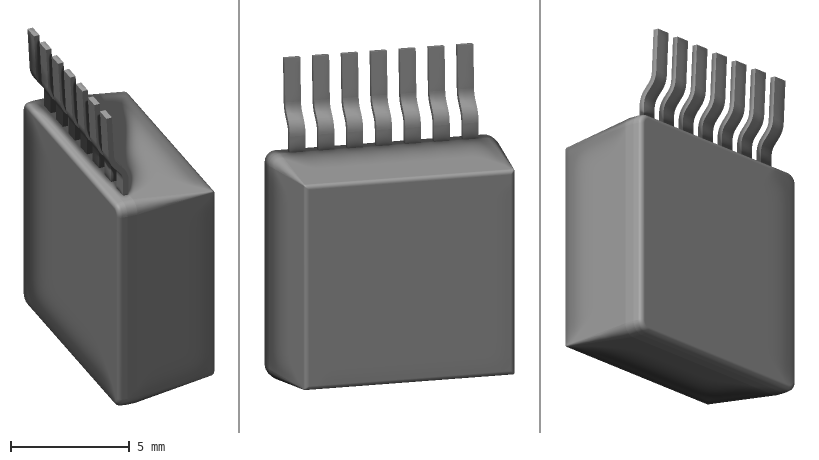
import cadquery as cq
import math

PACKAGE_WIDTH = 10.16
PACKAGE_HEIGHT = 9.85
PACKAGE_DEPTH = 4.67
CORNER_RADIUS = 0.5
BAND_FRONT = 0.41
BAND_BACK = 0.87
DRAFT_ANGLE = 7
FRONT_FILLET = 0.2
BACK_FILLET = 0.19

PAD_WIDTH = 5.33
PAD_EAR_SPAN = 6.42
PAD_HEIGHT = 8.52
PAD_EAR_HEIGHT = 0.59
PAD_BOTTOM = 1.02
PAD_THICKNESS = BAND_FRONT

LEAD_COUNT = 7
LEAD_ROW_SPAN = 7.61
LEAD_PITCH = LEAD_ROW_SPAN / (LEAD_COUNT - 1)
LEAD_WIDTH = 0.69
LEAD_THICKNESS = 0.25
LEAD_TOP = 13.77
LEAD_BEND_START = 0.7
LEAD_BEND_RADIUS = 0.69
LEAD_BEND_ANGLE = 43
LEAD_SLOPE_LENGTH = 0.35
LEAD_TIP_ANGLE = 3


def rounded_section(y, depth, taper):
    """Package section at the given Y, extruded along +Y (or -Y if depth is negative)."""
    section = cq.Workplane("XZ", origin=(0, y, PACKAGE_HEIGHT / 2)).sketch()
    section = section.rect(PACKAGE_WIDTH, PACKAGE_HEIGHT).vertices().fillet(CORNER_RADIUS).finalize()
    return section.extrude(-depth, taper=taper)


def make_package(pad):
    """Straight band drafted towards both faces, with rounded face edges and a recess for the pad."""
    band = rounded_section(BAND_FRONT, BAND_BACK - BAND_FRONT, 0)
    front = rounded_section(BAND_FRONT, -BAND_FRONT, DRAFT_ANGLE)
    back = rounded_section(BAND_BACK, PACKAGE_DEPTH - BAND_BACK, DRAFT_ANGLE)
    front = front.faces("<Y").edges().fillet(FRONT_FILLET)
    back = back.faces(">Y").edges().fillet(BACK_FILLET)
    return band.union(front).union(back).cut(pad).solids()


def make_pad():
    """Rectangle with an ear at each corner, giving an I-shaped outline."""

    def plate(width, height, bottom):
        plane = cq.Workplane("XZ", origin=(0, 0, bottom + height / 2))
        return plane.rect(width, height).extrude(-PAD_THICKNESS)

    pad = plate(PAD_WIDTH, PAD_HEIGHT, PAD_BOTTOM)
    for ear_bottom in (PAD_BOTTOM, PAD_BOTTOM + PAD_HEIGHT - PAD_EAR_HEIGHT):
        pad = pad.union(plate(PAD_EAR_SPAN, PAD_EAR_HEIGHT, ear_bottom))
    return pad.solids()


def make_lead(x):
    """Strip of constant section swept along its bent centre line, standing on the package."""
    radius = LEAD_BEND_RADIUS + LEAD_THICKNESS / 2
    lean = math.radians(LEAD_BEND_ANGLE)
    tip_lean = math.radians(LEAD_TIP_ANGLE)

    foot_y = BAND_BACK - LEAD_THICKNESS / 2
    bend_z = PACKAGE_HEIGHT + LEAD_BEND_START
    slope_start = (foot_y - radius * (1 - math.cos(lean)), bend_z + radius * math.sin(lean))
    slope_end = (
        slope_start[0] - LEAD_SLOPE_LENGTH * math.sin(lean),
        slope_start[1] + LEAD_SLOPE_LENGTH * math.cos(lean),
    )
    tip_start = (
        slope_end[0] - radius * (math.cos(tip_lean) - math.cos(lean)),
        slope_end[1] + radius * (math.sin(lean) - math.sin(tip_lean)),
    )
    tip_z = LEAD_TOP - LEAD_THICKNESS / 2 * math.sin(tip_lean)
    tip_y = tip_start[0] - (tip_z - tip_start[1]) * math.tan(tip_lean)

    centre_line = (
        cq.Workplane("YZ", origin=(x, 0, 0))
        .moveTo(foot_y, PACKAGE_HEIGHT)
        .lineTo(foot_y, bend_z)
        .tangentArcPoint(slope_start, relative=False)
        .lineTo(*slope_end)
        .tangentArcPoint(tip_start, relative=False)
        .lineTo(tip_y, tip_z)
    )
    foot = cq.Workplane("XY", origin=(x, foot_y, PACKAGE_HEIGHT)).rect(LEAD_WIDTH, LEAD_THICKNESS)
    return foot.sweep(centre_line)


pad = make_pad()
package = make_package(pad)
leads = []
for index in range(LEAD_COUNT):
    lead_x = index * LEAD_PITCH - LEAD_ROW_SPAN / 2
    leads.append(make_lead(lead_x).val())

result = cq.Compound.makeCompound([package.val(), pad.val(), *leads])